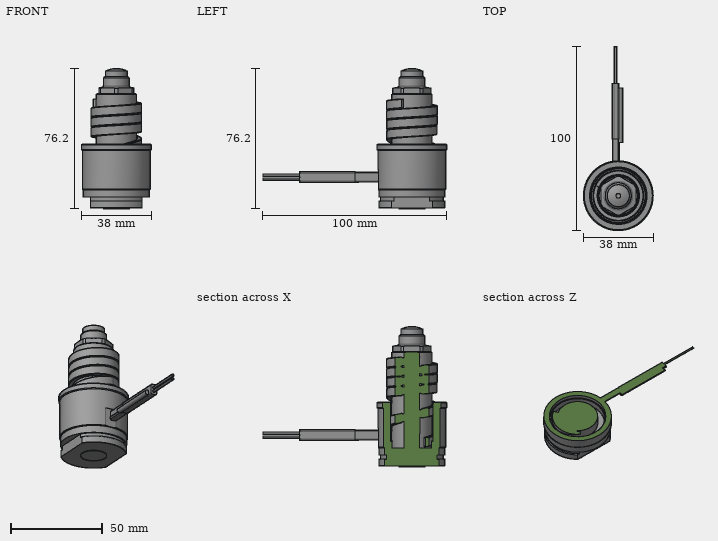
import cadquery as cq
import math

foot_radius = 7.1
foot_height = 0.4
base_radius = 18.0
base_flat_half_width = 14.1
base_edge_chamfer = 0.2
groove_radius = 17.1
groove_bottom = 4.2
groove_top = 6.3

housing_bottom = 10.3
housing_chamfer = 0.4
housing_radius = 18.5
rim_radius = 19.0
rim_bottom = 31.7
rim_top = 35.2
rim_chamfer = 0.5
bore_radius = 15.2
bore_ledge = 14.0
lower_bore_radius = 14.6
bore_chamfer = 0.4
cable_flat_y = 18.2
cable_flat_top = 21.0

core_radius = 11.0
core_top = 62.6
core_chamfer = 0.6
hex_flats = 19.0
hex_corner_radius = 10.5
hex_top = 65.5
hex_cone_top = 66.1
neck_radius = 7.1
neck_fillet = 0.7
neck_top = 71.0
neck_step_radius = 6.4
tip_bottom = 72.0
tip_radius = 6.0
tip_shoulder = 74.8
tip_top = 76.3
tip_dimple_radius = 1.3

spring_radius = 13.8
spring_inner_radius = core_radius - 0.1
spring_width = 5.2
spring_chamfer = 0.4
spring_inner_chamfer = 0.6
closed_pitch = 5.3
closed_end_angle = 156.0
closed_top = 59.8
junction_angle = 108.0
closed_turns = 3 + (closed_end_angle - junction_angle) / 360
open_pitch = 16.0
open_turns = 1.7

cable_x = -1.5
cable_z = 17.2
cable_start_y = 17.0
cable_width = 3.4
cable_height = 5.4
cable_rounding = 0.6
sleeve_start_y = 30.8
sleeve_end_y = 61.0
sleeve_width = 3.7
sleeve_height = 5.9
sleeve_rounding = 0.9
wire_radius = 0.7
wire_spacing = 2.1
wire_end_y = 81.0
side_tube_radius = 1.4
side_tube_x = 1.1
side_tube_z = 15.8
side_tube_start_y = 28.9
side_tube_end_y = 58.6
side_lead_x = 0.0


def disc(radius, bottom, top):
    return cq.Workplane("XY").workplane(offset=bottom).circle(radius).extrude(top - bottom)


def make_base():
    flange = disc(base_radius, foot_height, groove_bottom).faces("<Z").chamfer(base_edge_chamfer)
    base = flange.union(disc(groove_radius, groove_bottom, groove_top))
    flats = cq.Workplane("XY").box(2 * base_flat_half_width, 2 * base_radius, groove_top, (True, True, False))
    return base.intersect(flats).union(disc(foot_radius, 0, foot_height))


def make_housing():
    lower = disc(base_radius, groove_top, housing_bottom)
    body = disc(housing_radius, housing_bottom, rim_bottom).faces("<Z").chamfer(housing_chamfer)
    rim = disc(rim_radius, rim_bottom, rim_top).edges().chamfer(rim_chamfer)
    bore = disc(bore_radius, bore_ledge, rim_top).union(disc(lower_bore_radius, housing_bottom, bore_ledge))
    housing = lower.union(body).union(rim).cut(bore)
    bore_mouth = cq.selectors.RadiusNthSelector(0)
    housing = housing.faces(">Z").edges(bore_mouth).chamfer(bore_chamfer)
    cable_flat = (
        cq.Workplane("XY")
        .workplane(offset=housing_bottom)
        .center(0, cable_flat_y + housing_radius / 2)
        .rect(2 * housing_radius, housing_radius)
        .extrude(cable_flat_top - housing_bottom)
    )
    return housing.cut(cable_flat)


def make_core():
    return disc(core_radius, housing_bottom, core_top).faces(">Z").chamfer(core_chamfer)


def make_hexagon():
    corner_diameter = hex_flats / math.cos(math.pi / 6)
    height = hex_cone_top - core_top
    prism = cq.Workplane("XY").workplane(offset=core_top).polygon(6, corner_diameter).extrude(height)
    prism = prism.rotate((0, 0, 0), (0, 0, 1), 30)
    neck_foot_radius = neck_radius + neck_fillet
    limit = (
        cq.Workplane("XZ")
        .moveTo(0, core_top)
        .lineTo(hex_corner_radius, core_top)
        .lineTo(hex_corner_radius, hex_top)
        .lineTo(neck_foot_radius, hex_cone_top)
        .lineTo(0, hex_cone_top)
        .close()
        .revolve(360, (0, 0), (0, 1))
    )
    return prism.intersect(limit)


def make_nose():
    dome_radius = (tip_radius**2 + (tip_top - tip_shoulder) ** 2) / (2 * (tip_top - tip_shoulder))
    dome_mid_x = tip_radius / 2
    dome_mid_z = tip_top - dome_radius + math.sqrt(dome_radius**2 - dome_mid_x**2)
    fillet_mid = neck_fillet * (1 - math.sqrt(0.5))
    nose = (
        cq.Workplane("XZ")
        .moveTo(0, hex_cone_top)
        .lineTo(neck_radius + neck_fillet, hex_cone_top)
        .threePointArc(
            (neck_radius + fillet_mid, hex_cone_top + fillet_mid),
            (neck_radius, hex_cone_top + neck_fillet),
        )
        .lineTo(neck_radius, neck_top)
        .lineTo(neck_step_radius, neck_top + neck_radius - neck_step_radius)
        .lineTo(tip_radius, tip_bottom)
        .lineTo(tip_radius, tip_shoulder)
        .threePointArc((dome_mid_x, dome_mid_z), (0, tip_top))
        .close()
        .revolve(360, (0, 0), (0, 1))
    )
    dimple = cq.Workplane("XY").sphere(tip_dimple_radius).translate((0, 0, tip_top))
    return nose.cut(dimple)


def make_coil(pitch, turns, start_angle, start_top):
    """Rising right-handed coil; its top edge starts at height start_top."""
    bottom = start_top - spring_width
    path = cq.Wire.makeHelix(pitch, pitch * turns, spring_radius, cq.Vector(0, 0, bottom))
    chamfer_x = spring_radius - spring_chamfer
    coil = (
        cq.Workplane("XZ")
        .moveTo(spring_inner_radius, bottom + spring_inner_chamfer)
        .lineTo(spring_inner_radius + spring_inner_chamfer, bottom)
        .lineTo(chamfer_x, bottom)
        .lineTo(spring_radius, bottom + spring_chamfer)
        .lineTo(spring_radius, start_top - spring_chamfer)
        .lineTo(chamfer_x, start_top)
        .lineTo(spring_inner_radius + spring_inner_chamfer, start_top)
        .lineTo(spring_inner_radius, start_top - spring_inner_chamfer)
        .close()
        .sweep(cq.Workplane(path), isFrenet=True)
    )
    return coil.rotate((0, 0, 0), (0, 0, 1), start_angle)


def make_spring():
    junction_top = closed_top - closed_pitch * closed_turns
    closed_turn_stack = make_coil(closed_pitch, closed_turns, junction_angle, junction_top)
    open_start_angle = junction_angle - 360 * open_turns
    open_start_top = junction_top - open_pitch * open_turns
    open_coil = make_coil(open_pitch, open_turns, open_start_angle, open_start_top)
    return closed_turn_stack, open_coil


def rounded_bar(width, height, rounding, start_y, end_y):
    bar = cq.Workplane("XY").box(width, end_y - start_y, height, (True, False, True))
    return bar.edges("|Y").fillet(rounding).translate((cable_x, start_y, cable_z))


def rod_along_y(radius, x, z, start_y, end_y):
    return cq.Workplane(
        cq.Solid.makeCylinder(radius, end_y - start_y, cq.Vector(x, start_y, z), cq.Vector(0, 1, 0))
    )


def make_cable():
    cable = rounded_bar(cable_width, cable_height, cable_rounding, cable_start_y, sleeve_start_y)
    cable = cable.union(rounded_bar(sleeve_width, sleeve_height, sleeve_rounding, sleeve_start_y, sleeve_end_y))
    for side in (-1, 1):
        wire_z = cable_z + side * wire_spacing / 2
        cable = cable.union(rod_along_y(wire_radius, cable_x, wire_z, sleeve_end_y, wire_end_y))
    side_tube = rod_along_y(side_tube_radius, side_tube_x, side_tube_z, side_tube_start_y, side_tube_end_y)
    side_lead = rod_along_y(wire_radius, side_lead_x, side_tube_z, cable_start_y, side_tube_start_y)
    return cable.union(side_tube).union(side_lead)


result = make_base().union(make_housing()).union(make_core()).union(make_hexagon()).union(make_nose())
for coil in make_spring():
    result = result.union(coil)
result = result.union(make_cable())